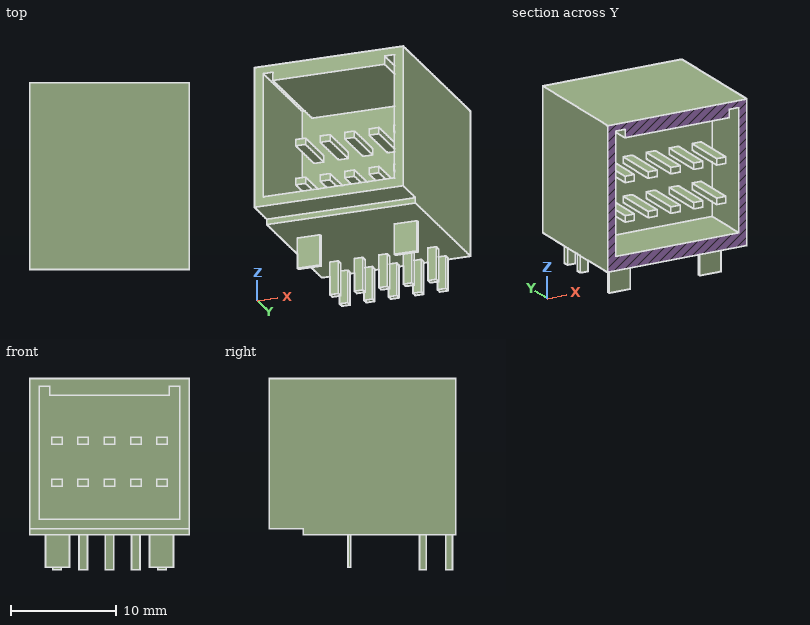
import cadquery as cq


width = 15.2
depth = 17.8
height = 14.9
front_face = -depth / 2
back_face = depth / 2

relief_length = 3.25
relief_height = 0.55

side_wall = 0.9
floor_height = 1.5
roof_wall = 1.6
cavity_depth = 10.3
corner_slot_width = 1.0
corner_slot_wall = 0.75
cavity_width = width - 2 * side_wall

pins_per_row = 5
pitch = 2.5
contact_width = 1.0
contact_height = 0.65
contact_recess = 5.5
row_heights = (4.95, 8.95)
column_positions = [(i - (pins_per_row - 1) / 2) * pitch for i in range(pins_per_row)]

tail_width = 0.85
tail_thickness = 0.65
tail_length = 3.35
rear_tail_inset = 0.65
tail_row_count = 2
tail_rows = [back_face - rear_tail_inset - i * pitch for i in range(tail_row_count)]

tab_width = 2.3
tab_thickness = 0.3
tab_length = 3.1
tab_offset = 4.95
tab_inset = 10.15


def block(x_center, x_size, y_min, y_max, z_min, z_max):
    """Axis-aligned box centred on x_center in X and spanning the given Y and Z limits."""
    return cq.Workplane("XY").box(
        x_size, y_max - y_min, z_max - z_min, centered=(True, False, False)
    ).translate((x_center, y_min, z_min))


def make_housing():
    body = block(0, width, front_face, back_face, 0, height)
    relief = block(0, width, front_face, front_face + relief_length, 0, relief_height)
    return body.cut(relief)


def make_cavity():
    """Rectangular pocket with a raised slot in each upper corner."""
    cavity_end = front_face + cavity_depth
    cavity = block(0, cavity_width, front_face, cavity_end, floor_height, height - roof_wall)
    slot_x = (cavity_width - corner_slot_width) / 2
    for side in (-1, 1):
        slot = block(
            side * slot_x, corner_slot_width, front_face, cavity_end,
            floor_height, height - corner_slot_wall,
        )
        cavity = cavity.union(slot)
    return cavity


def make_contact(x, z):
    """Straight contact standing on the back wall of the cavity."""
    return block(
        x, contact_width, front_face + contact_recess, front_face + cavity_depth,
        z - contact_height / 2, z + contact_height / 2,
    )


def make_leg(x, y, leg_width, leg_thickness, leg_length):
    """Flat leg hanging from the board face."""
    return block(x, leg_width, y - leg_thickness / 2, y + leg_thickness / 2, -leg_length, 0)


result = make_housing().cut(make_cavity())

for column in column_positions:
    for row_height in row_heights:
        result = result.union(make_contact(column, row_height))
    for tail_y in tail_rows:
        result = result.union(make_leg(column, tail_y, tail_width, tail_thickness, tail_length))

for side in (-1, 1):
    tab = make_leg(side * tab_offset, back_face - tab_inset, tab_width, tab_thickness, tab_length)
    result = result.union(tab)